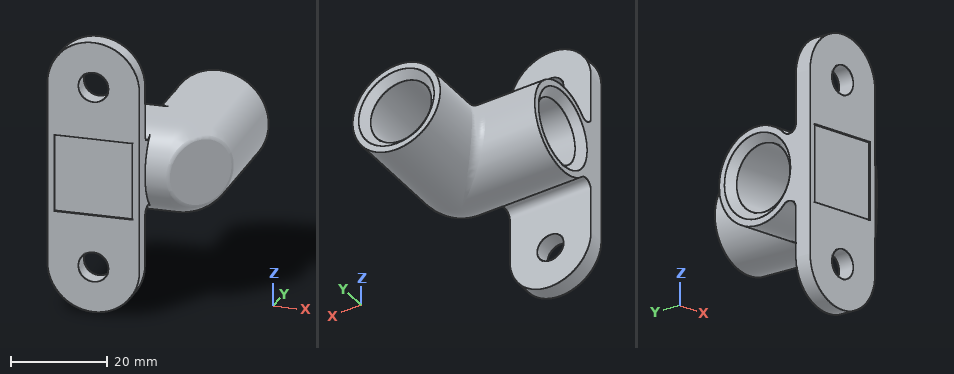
import cadquery as cq
import math

pipe_radius = 21.6 / 2
bore_radius = 15.0 / 2
leg_length = 25.0
bore_bend_radius = 7.6
mouth_radius = 18.6 / 2
mouth_depth = mouth_radius - bore_radius

flat_distance = pipe_radius / math.sqrt(2)
flat_edge_radius = 1.0
crotch_radius = 2.0

plate_width = 20.0
plate_height = 60.0
plate_thickness = 4.0
plate_back = -pipe_radius
plate_front = plate_back - plate_thickness
plate_center_x = -leg_length + plate_width / 2
web_fillet_radius = 2.0

hole_diameter = 6.5
hole_spacing = plate_height - plate_width
recess_side = 17.0
recess_depth = 0.5

to_minus_x = cq.Vector(-1, 0, 0)
to_plus_y = cq.Vector(0, 1, 0)
outer_corner = cq.Vector(1, -1, 0)
origin = cq.Vector(0, 0, 0)


def elbow():
    """Two solid round legs of equal radius joined by a ball at the corner."""
    body = cq.Workplane("XY").sphere(pipe_radius)
    for direction in (to_minus_x, to_plus_y):
        leg = cq.Solid.makeCylinder(pipe_radius, leg_length, origin, direction)
        body = body.union(cq.Workplane(leg))
    return body


def flatten_corner(body):
    """Cut the ball at 45 degrees and round the rim of the flat."""
    cutter = cq.Workplane(cq.Plane(outer_corner.normalized() * flat_distance, (0, 0, 1), outer_corner))
    cutter = cutter.circle(pipe_radius).extrude(pipe_radius)
    flat = cq.selectors.DirectionMinMaxSelector(outer_corner)
    return body.cut(cutter).faces(flat).edges().fillet(flat_edge_radius)


def round_crotch(body):
    """Round the seam where the two legs meet on the inside of the bend."""
    seam = cq.selectors.NearestToPointSelector((-pipe_radius, pipe_radius, 0))
    return body.edges(seam).fillet(crotch_radius)


def plate_plane():
    """Workplane on the plate front, with local X along +X and the normal along -Y."""
    return cq.Workplane("XZ", origin=(plate_center_x, plate_front, 0))


def plate():
    return plate_plane().slot2D(plate_height, plate_width, 90).extrude(-plate_thickness)


def web():
    """Neck between plate and pipe, with concave arcs tangent to both."""
    arc_y = plate_back + web_fillet_radius
    center_distance = pipe_radius + web_fillet_radius
    arc_z = math.sqrt(center_distance**2 - arc_y**2)
    pipe_y = arc_y * pipe_radius / center_distance
    pipe_z = arc_z * pipe_radius / center_distance

    mid_angle = (math.pi + math.atan2(-arc_z, -arc_y) % (2 * math.pi)) / 2
    mid_y = arc_y + web_fillet_radius * math.cos(mid_angle)
    mid_z = arc_z + web_fillet_radius * math.sin(mid_angle)

    outline = (
        cq.Workplane("YZ", origin=(-leg_length, 0, 0))
        .moveTo(plate_back, -arc_z)
        .threePointArc((mid_y, -mid_z), (pipe_y, -pipe_z))
        .lineTo(pipe_y, pipe_z)
        .threePointArc((mid_y, mid_z), (plate_back, arc_z))
        .close()
    )
    return outline.extrude(plate_width)


def bore():
    """Constant round bore running from mouth to mouth through a smooth quarter bend."""
    mid_bend = bore_bend_radius * (1 - math.sqrt(0.5))
    path = (
        cq.Workplane("XY")
        .moveTo(-leg_length, 0)
        .lineTo(-bore_bend_radius, 0)
        .threePointArc((-mid_bend, mid_bend), (0, bore_bend_radius))
        .lineTo(0, leg_length)
    )
    return cq.Workplane("YZ", origin=(-leg_length, 0, 0)).circle(bore_radius).sweep(path)


def mouths():
    """Conical lead-ins at both open ends of the bore."""
    cones = cq.Workplane("XY")
    for direction in (to_minus_x, to_plus_y):
        mouth_center = direction * leg_length
        inward = direction * -1
        cone = cq.Solid.makeCone(mouth_radius, bore_radius, mouth_depth, mouth_center, inward)
        cones = cones.add(cone)
    return cones.combine()


def screw_holes():
    return plate_plane().rarray(1, hole_spacing, 1, 2).circle(hole_diameter / 2).extrude(-plate_thickness)


def recess():
    return plate_plane().rect(recess_side, recess_side).extrude(-recess_depth)


result = round_crotch(flatten_corner(elbow()))
result = result.union(plate()).union(web())
result = result.cut(bore()).cut(mouths())
result = result.cut(screw_holes()).cut(recess())